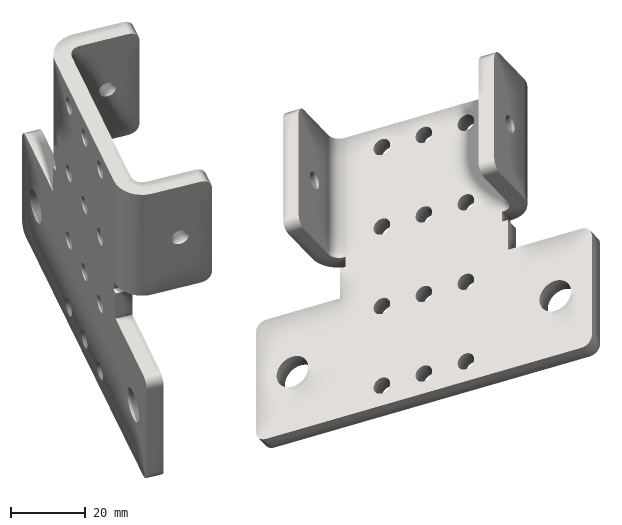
import cadquery as cq

thickness = 4.8
plate_width = 101.6
plate_height = 38.1
corner_radius = 3.1

total_height = 88.9
neck_width = plate_width / 2
relief_width = 47.2
relief_height = 3.1

channel_width = 63.9
channel_depth = 25.0
inner_bend_radius = 3.3
outer_bend_radius = inner_bend_radius + thickness
flange_height = 38.1
flange_bottom = total_height - flange_height
neck_top = flange_bottom - relief_height

small_hole = 5.0
hole_pitch_x = 12.7
hole_pitch_z = 25.4
hole_columns = 3
hole_rows = 4
hole_grid_height = (hole_rows - 1) * hole_pitch_z
bottom_row_z = (total_height - hole_grid_height) / 2
mount_hole = 9.5
mount_hole_spacing = 79.5
flange_hole_y = 16.0

clearance = 1


def front_slab(width, bottom, top):
    """Plate-thick slab centred on X between two heights."""
    slab = cq.Workplane("XY").box(width, thickness, top - bottom, centered=(True, False, False))
    return slab.translate((0, 0, bottom))


def make_plate():
    plate = front_slab(plate_width, 0, plate_height)
    plate = plate.edges("|Y").fillet(corner_radius)
    neck = front_slab(neck_width, 0, neck_top)
    web = front_slab(relief_width, 0, total_height)
    return plate.union(neck).union(web)


def make_channel():
    """U-shaped channel forming the web, the bends and both flanges."""
    outer = (
        cq.Workplane("XY")
        .box(channel_width, channel_depth, flange_height, centered=(True, False, False))
        .edges("|Z and <Y")
        .fillet(outer_bend_radius)
    )
    inner = (
        cq.Workplane("XY")
        .box(channel_width - 2 * thickness, channel_depth, flange_height, centered=(True, False, False))
        .edges("|Z and <Y")
        .fillet(inner_bend_radius)
        .translate((0, thickness, 0))
    )
    channel = outer.cut(inner).translate((0, 0, flange_bottom))
    return channel.faces(">Y").edges("|X").fillet(corner_radius)


def hole_cutter_y(diameter, points):
    """Cylinders along Y through the plate at (x, z) points."""
    length = thickness + 2 * clearance
    plane = cq.Workplane("XZ", origin=(0, -clearance, 0))
    return plane.pushPoints(points).circle(diameter / 2).extrude(-length)


def flange_hole_cutter():
    """One cylinder along X through both flanges."""
    center_z = flange_bottom + flange_height / 2
    plane = cq.Workplane("YZ").center(flange_hole_y, center_z)
    return plane.circle(small_hole / 2).extrude(channel_width / 2 + clearance, both=True)


grid_points = [
    ((column - (hole_columns - 1) / 2) * hole_pitch_x, bottom_row_z + row * hole_pitch_z)
    for column in range(hole_columns)
    for row in range(hole_rows)
]
mount_points = [(side * mount_hole_spacing / 2, plate_height / 2) for side in (-1, 1)]

result = (
    make_plate()
    .union(make_channel())
    .cut(hole_cutter_y(small_hole, grid_points))
    .cut(hole_cutter_y(mount_hole, mount_points))
    .cut(flange_hole_cutter())
)